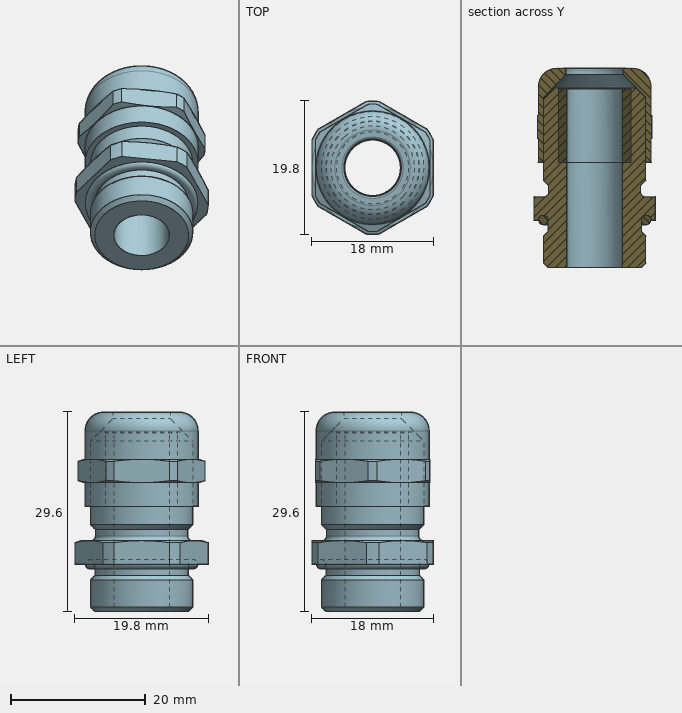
import cadquery as cq
import math


TOTAL_HEIGHT = 29.6

THREAD_RADIUS = 7.6
LOWER_NECK_RADIUS = 6.95
LOWER_NECK_BOTTOM_Z = 5.35
UPPER_NECK_RADIUS = 6.87
UPPER_NECK_TOP_Z = 12.17
NECK_FILLET = 0.68
END_CHAMFER = 0.65

BODY_HEX_FLATS = 18.0
BODY_HEX_CORNERS = 19.8
BODY_HEX_BOTTOM_Z = 7.0
BODY_HEX_TOP_Z = 10.5

NUT_RADIUS = 8.4
NUT_BOTTOM_Z = 15.6
DOME_RADIUS = 2.8
MOUTH_RADIUS = 4.25
MOUTH_FILLET = 0.3
MOUTH_DEPTH = 0.98
NUT_HEX_FLATS = 17.0
NUT_HEX_CORNERS = 18.88
NUT_HEX_BOTTOM_Z = 19.12
NUT_HEX_TOP_Z = 22.58

HEX_CHAMFER_DROP = 0.3

PASSAGE_RADIUS = 4.1
SEAL_RADIUS = 5.35
SEAL_RECESS = 0.15
SEAL_BOTTOM_Z = NUT_BOTTOM_Z

BODY_TOP_Z = 26.67
TAPER_TOP_Z = TOTAL_HEIGHT - MOUTH_DEPTH
BODY_TOP_RADIUS = MOUTH_RADIUS + (TAPER_TOP_Z - BODY_TOP_Z)
TAPER_BOTTOM_Z = TAPER_TOP_Z - (THREAD_RADIUS - MOUTH_RADIUS)

SEALING_RING_SECTION_DIAMETER = 1.4
SEALING_RING_CENTRE_Z = 7.02
SEALING_RING_SECTION_RADIUS = SEALING_RING_SECTION_DIAMETER / 2
SEALING_RING_CENTRE_RADIUS = LOWER_NECK_RADIUS + SEALING_RING_SECTION_RADIUS


def cylinder(radius, bottom_z, top_z):
    return cq.Workplane("XY").workplane(offset=bottom_z).circle(radius).extrude(top_z - bottom_z)


def hexagon(flats, turned_corners, bottom_z, top_z, chamfer_bottom):
    """Hexagon with flats facing +/-X, corners turned round and ends chamfered conically."""
    height = top_z - bottom_z
    flat_radius = flats / 2
    corner_radius = turned_corners / 2
    sharp_corners = flats / math.cos(math.radians(30))
    prism = (
        cq.Workplane("XY")
        .workplane(offset=bottom_z)
        .polygon(6, sharp_corners)
        .extrude(height)
        .rotate((0, 0, 0), (0, 0, 1), 30)
    )
    profile = cq.Workplane("XZ").moveTo(0, bottom_z)
    if chamfer_bottom:
        profile = profile.lineTo(flat_radius, bottom_z).lineTo(corner_radius, bottom_z + HEX_CHAMFER_DROP)
    else:
        profile = profile.lineTo(corner_radius, bottom_z)
    blank = (
        profile.lineTo(corner_radius, top_z - HEX_CHAMFER_DROP)
        .lineTo(flat_radius, top_z)
        .lineTo(0, top_z)
        .close()
        .revolve()
    )
    return prism.intersect(blank)


def make_sealing_ring():
    return (
        cq.Workplane("XZ")
        .center(SEALING_RING_CENTRE_RADIUS, SEALING_RING_CENTRE_Z)
        .circle(SEALING_RING_SECTION_RADIUS)
        .revolve(360, (-SEALING_RING_CENTRE_RADIUS, 0), (-SEALING_RING_CENTRE_RADIUS, 1))
    )


def make_seal():
    seal_top_z = BODY_TOP_Z - SEAL_RECESS
    seal = cylinder(SEAL_RADIUS, SEAL_BOTTOM_Z, seal_top_z)
    return seal.cut(cylinder(PASSAGE_RADIUS, SEAL_BOTTOM_Z, seal_top_z))


def make_body(sealing_ring):
    lower_thread_top_z = LOWER_NECK_BOTTOM_Z - (THREAD_RADIUS - LOWER_NECK_RADIUS)
    upper_thread_bottom_z = UPPER_NECK_TOP_Z + (THREAD_RADIUS - UPPER_NECK_RADIUS)
    fillet_mid = NECK_FILLET * (1 - math.cos(math.radians(45)))
    turned = (
        cq.Workplane("XZ")
        .lineTo(THREAD_RADIUS - END_CHAMFER, 0)
        .lineTo(THREAD_RADIUS, END_CHAMFER)
        .lineTo(THREAD_RADIUS, lower_thread_top_z)
        .lineTo(LOWER_NECK_RADIUS, LOWER_NECK_BOTTOM_Z)
        .lineTo(LOWER_NECK_RADIUS, BODY_HEX_TOP_Z)
        .lineTo(UPPER_NECK_RADIUS + NECK_FILLET, BODY_HEX_TOP_Z)
        .threePointArc(
            (UPPER_NECK_RADIUS + fillet_mid, BODY_HEX_TOP_Z + fillet_mid),
            (UPPER_NECK_RADIUS, BODY_HEX_TOP_Z + NECK_FILLET),
        )
        .lineTo(UPPER_NECK_RADIUS, UPPER_NECK_TOP_Z)
        .lineTo(THREAD_RADIUS, upper_thread_bottom_z)
        .lineTo(THREAD_RADIUS, TAPER_BOTTOM_Z)
        .lineTo(BODY_TOP_RADIUS, BODY_TOP_Z)
        .lineTo(0, BODY_TOP_Z)
        .close()
        .revolve()
    )
    body_hex = hexagon(
        BODY_HEX_FLATS, BODY_HEX_CORNERS, BODY_HEX_BOTTOM_Z, BODY_HEX_TOP_Z, chamfer_bottom=False
    )

    passage = cylinder(PASSAGE_RADIUS, 0, SEAL_BOTTOM_Z)
    seal_seat = cylinder(SEAL_RADIUS, SEAL_BOTTOM_Z, BODY_TOP_Z)
    return turned.union(body_hex).cut(passage).cut(seal_seat).cut(sealing_ring)


def make_cap_nut():
    dome_start_z = TOTAL_HEIGHT - DOME_RADIUS
    dome_mid = DOME_RADIUS * math.cos(math.radians(45))
    mouth_mid = MOUTH_FILLET * (1 - math.cos(math.radians(45)))
    shell = (
        cq.Workplane("XZ")
        .moveTo(THREAD_RADIUS, NUT_BOTTOM_Z)
        .lineTo(NUT_RADIUS, NUT_BOTTOM_Z)
        .lineTo(NUT_RADIUS, dome_start_z)
        .threePointArc(
            (NUT_RADIUS - DOME_RADIUS + dome_mid, dome_start_z + dome_mid),
            (NUT_RADIUS - DOME_RADIUS, TOTAL_HEIGHT),
        )
        .lineTo(MOUTH_RADIUS + MOUTH_FILLET, TOTAL_HEIGHT)
        .threePointArc(
            (MOUTH_RADIUS + mouth_mid, TOTAL_HEIGHT - mouth_mid),
            (MOUTH_RADIUS, TOTAL_HEIGHT - MOUTH_FILLET),
        )
        .lineTo(MOUTH_RADIUS, TAPER_TOP_Z)
        .lineTo(THREAD_RADIUS, TAPER_BOTTOM_Z)
        .close()
        .revolve(360, (0, 0), (0, 1))
    )
    nut_hex = hexagon(
        NUT_HEX_FLATS, NUT_HEX_CORNERS, NUT_HEX_BOTTOM_Z, NUT_HEX_TOP_Z, chamfer_bottom=True
    ).cut(cylinder(THREAD_RADIUS, NUT_HEX_BOTTOM_Z, NUT_HEX_TOP_Z))
    return shell.union(nut_hex)


sealing_ring = make_sealing_ring()
seal = make_seal()
body = make_body(sealing_ring)
cap_nut = make_cap_nut()

bodies = [body, sealing_ring, seal, cap_nut]
result = cq.Compound.makeCompound([part.solids().val() for part in bodies])